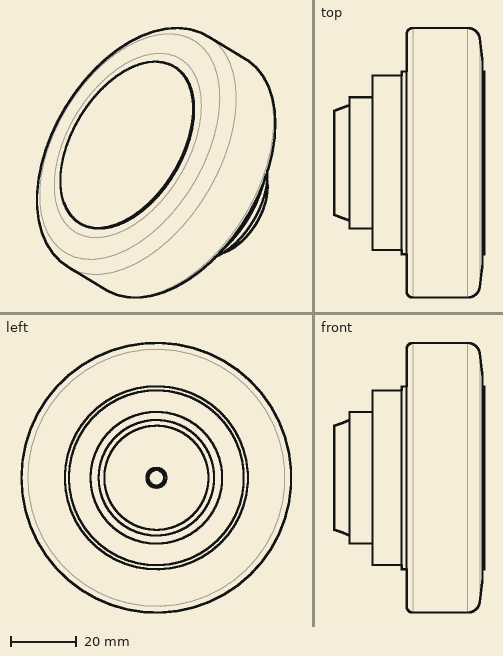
import cadquery as cq
import math

total_length = 45.5
nose_end = 4.6
small_step_end = 11.5
large_step_end = 20.45
rim_start = 21.9
rim_round_start = 40.4
rim_back = 45.0

nose_tip_radius = 15.8
nose_base_radius = 17.5
small_step_radius = 20.0
large_step_radius = 26.5
hub_radius = 27.7
rim_radius = 40.9

front_round = 2.0
back_round = 3.8
back_taper = math.radians(7)

hole_mouth_radius = 3.0
hole_radius = 2.4
hole_depth = 8.0
countersink_depth = hole_mouth_radius - hole_radius
drill_tip_depth = hole_radius / math.tan(math.radians(59))


def on_back_round(angle):
    """Point on the back rounding, at an angle from the axis direction."""
    x = rim_round_start + back_round * math.cos(angle)
    radius = rim_radius - back_round + back_round * math.sin(angle)
    return x, radius


def make_body():
    """Revolve the stepped outline, from the nose to the back of the rim."""
    round_end = on_back_round(back_taper)
    round_middle = on_back_round((back_taper + math.pi / 2) / 2)
    taper_end_radius = round_end[1] - (rim_back - round_end[0]) / math.tan(back_taper)
    round_inset = front_round * (1 - math.sqrt(0.5))
    outline = (
        cq.Workplane("XY")
        .moveTo(0, 0)
        .lineTo(0, nose_tip_radius)
        .lineTo(nose_end, nose_base_radius)
        .lineTo(nose_end, small_step_radius)
        .lineTo(small_step_end, small_step_radius)
        .lineTo(small_step_end, large_step_radius)
        .lineTo(large_step_end, large_step_radius)
        .lineTo(large_step_end, hub_radius)
        .lineTo(rim_start, hub_radius)
        .lineTo(rim_start, rim_radius - front_round)
        .threePointArc(
            (rim_start + round_inset, rim_radius - round_inset),
            (rim_start + front_round, rim_radius),
        )
        .lineTo(rim_round_start, rim_radius)
        .threePointArc(round_middle, round_end)
        .lineTo(rim_back, taper_end_radius)
        .lineTo(rim_back, hub_radius)
        .lineTo(total_length, hub_radius)
        .lineTo(total_length, 0)
        .close()
    )
    return outline.revolve(360, (0, 0), (1, 0))


def make_center_hole():
    """Countersunk blind hole with a conical drill tip."""
    return (
        cq.Workplane("XY")
        .moveTo(0, 0)
        .lineTo(0, hole_mouth_radius)
        .lineTo(countersink_depth, hole_radius)
        .lineTo(hole_depth, hole_radius)
        .lineTo(hole_depth + drill_tip_depth, 0)
        .close()
        .revolve(360, (0, 0), (1, 0))
    )


result = make_body().cut(make_center_hole())